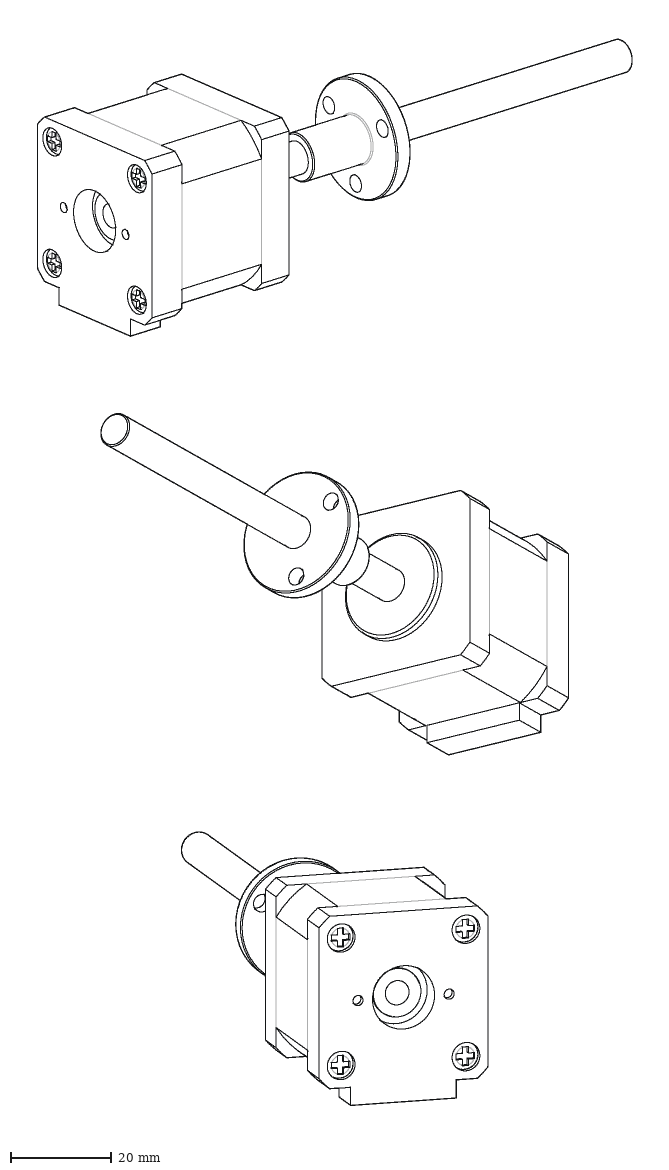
import cadquery as cq
MOTOR_SIZE = 35.3
MOTOR_LENGTH = 35.9
REAR_COVER_LENGTH = 7.9
FRONT_COVER_LENGTH = 7.2
COVER_CORNER_RADIUS = 23.5
STATOR_CORNER_RADIUS = 21.0
ASSEMBLY_LENGTH = 138.0

TAB_WIDTH = 22.1
TAB_DROP = 3.7

BOSS_RADIUS = 11.0
BOSS_HEIGHT = 2.1
BOSS_CHAMFER = 0.5

POCKET_RADIUS = 6.5
POCKET_DEPTH = 5.0

BEARING_RADIUS = 5.0
BEARING_START = 4.3
BEARING_LENGTH = REAR_COVER_LENGTH - BEARING_START

SCREW_RADIUS = 3.5
JOURNAL_RADIUS = 2.5
SCREW_END_CHAMFER = 0.3

NUT_START = 53.0
NUT_SLEEVE_RADIUS = 5.1
NUT_SLEEVE_CHAMFER = 0.3
NUT_LENGTH = 19.0
NUT_FLANGE_RADIUS = 12.7
NUT_FLANGE_THICKNESS = 3.7
NUT_FLANGE_CHAMFER = 0.3
NUT_ROOT_FILLET = 0.3
NUT_HOLE_COUNT = 3
NUT_HOLE_RADIUS = 1.8
NUT_HOLE_CIRCLE_RADIUS = 9.5
NUT_FIRST_HOLE_ANGLE = 30.0

FASTENER_SPACING = 26.1
FASTENER_RADIUS = 2.9
FASTENER_TOP = 0.4
FASTENER_HEAD_FILLET = 1.0
FASTENER_RECESS_DEPTH = FASTENER_TOP + FASTENER_HEAD_FILLET
CROSS_LENGTH = 3.9
CROSS_WIDTH = 1.2
CROSS_DEPTH = 0.8

DRILL_SPACING = 19.0
DRILL_RADIUS = 1.04
DRILL_DEPTH = 1.4
DRILL_TIP_LENGTH = 0.5


def section(y):
    """Sketch plane across the motor axis at y, with local X along -X, Z up and extrusion towards +Y."""
    return cq.Workplane(cq.Plane(origin=(0, y, 0), xDir=(-1, 0, 0), normal=(0, 1, 0)))


def rod(radius, start, length):
    return section(start).circle(radius).extrude(length)


def motor_block(corner_radius, start, length):
    """Square block whose corners are rounded by a cylinder about the motor axis."""
    square = section(start).rect(MOTOR_SIZE, MOTOR_SIZE).extrude(length)
    return square.intersect(rod(corner_radius, start, length))


def make_shell():
    """Two covers, the stator between them, the connector tab and the front boss."""
    front_cover_start = MOTOR_LENGTH - FRONT_COVER_LENGTH
    stator_length = front_cover_start - REAR_COVER_LENGTH
    rear_cover = motor_block(COVER_CORNER_RADIUS, 0, REAR_COVER_LENGTH)
    stator = motor_block(STATOR_CORNER_RADIUS, REAR_COVER_LENGTH, stator_length)
    front_cover = motor_block(COVER_CORNER_RADIUS, front_cover_start, FRONT_COVER_LENGTH)

    tab_height = MOTOR_SIZE / 2 + TAB_DROP
    tab = section(0).center(0, -tab_height / 2).rect(TAB_WIDTH, tab_height).extrude(REAR_COVER_LENGTH)

    boss = rod(BOSS_RADIUS, MOTOR_LENGTH, BOSS_HEIGHT).faces(">Y").chamfer(BOSS_CHAMFER)
    rear = rear_cover.union(tab).clean()
    return rear.union(stator, clean=False).union(front_cover, clean=False).union(boss, clean=False)


def make_fastener_recess():
    """Material removed around one fastener: a round recess less the domed head, plus the cross slot."""
    head = rod(FASTENER_RADIUS, FASTENER_TOP, REAR_COVER_LENGTH)
    head = head.faces("<Y").edges().fillet(FASTENER_HEAD_FILLET)
    recess = rod(FASTENER_RADIUS, 0, FASTENER_RECESS_DEPTH).cut(head)
    for width, height in ((CROSS_LENGTH, CROSS_WIDTH), (CROSS_WIDTH, CROSS_LENGTH)):
        recess = recess.union(section(FASTENER_TOP).rect(width, height).extrude(CROSS_DEPTH))
    return recess


def make_drilled_hole():
    """Blind hole with a conical tip."""
    tip_y = DRILL_DEPTH + DRILL_TIP_LENGTH
    profile = [(0, 0), (DRILL_RADIUS, 0), (DRILL_RADIUS, DRILL_DEPTH), (0, tip_y)]
    return cq.Workplane("XY").polyline(profile).close().revolve(360, (0, 0, 0), (0, 1, 0))


def make_housing():
    housing = make_shell()
    housing = housing.cut(rod(POCKET_RADIUS, 0, POCKET_DEPTH), clean=False)
    housing = housing.cut(rod(BEARING_RADIUS, BEARING_START, BEARING_LENGTH), clean=False)
    screw_bore_length = MOTOR_LENGTH + BOSS_HEIGHT - REAR_COVER_LENGTH
    housing = housing.cut(rod(SCREW_RADIUS, REAR_COVER_LENGTH, screw_bore_length), clean=False)

    fastener_recess = make_fastener_recess()
    for x in (-FASTENER_SPACING / 2, FASTENER_SPACING / 2):
        for z in (-FASTENER_SPACING / 2, FASTENER_SPACING / 2):
            housing = housing.cut(fastener_recess.translate((x, 0, z)), clean=False)

    drilled_hole = make_drilled_hole()
    for x in (-DRILL_SPACING / 2, DRILL_SPACING / 2):
        housing = housing.cut(drilled_hole.translate((x, 0, 0)), clean=False)
    return housing


def make_bearing():
    """Ring seated in the pocket floor, carrying the screw journal."""
    return section(BEARING_START).circle(BEARING_RADIUS).circle(JOURNAL_RADIUS).extrude(BEARING_LENGTH)


def make_lead_screw():
    """Plain rod with a thinner journal through the bearing."""
    thick_length = ASSEMBLY_LENGTH - REAR_COVER_LENGTH
    thick = rod(SCREW_RADIUS, REAR_COVER_LENGTH, thick_length).faces(">Y").chamfer(SCREW_END_CHAMFER)
    return thick.union(rod(JOURNAL_RADIUS, BEARING_START, BEARING_LENGTH))


def make_nut():
    """Sleeve with a drilled flange at its front end, sitting on the screw."""
    flange_start = NUT_START + NUT_LENGTH - NUT_FLANGE_THICKNESS
    sleeve = rod(NUT_SLEEVE_RADIUS, NUT_START, NUT_LENGTH).faces("<Y").chamfer(NUT_SLEEVE_CHAMFER)
    flange = rod(NUT_FLANGE_RADIUS, flange_start, NUT_FLANGE_THICKNESS)
    flange = flange.faces("<Y or >Y").edges().chamfer(NUT_FLANGE_CHAMFER)
    holes = (
        section(flange_start)
        .polarArray(NUT_HOLE_CIRCLE_RADIUS, NUT_FIRST_HOLE_ANGLE, 360, NUT_HOLE_COUNT)
        .circle(NUT_HOLE_RADIUS)
        .extrude(NUT_FLANGE_THICKNESS)
    )
    bore = rod(SCREW_RADIUS, NUT_START, NUT_LENGTH)
    body = sleeve.union(flange)
    root_corner = (NUT_SLEEVE_RADIUS, flange_start, 0)
    body = body.edges(cq.selectors.NearestToPointSelector(root_corner)).fillet(NUT_ROOT_FILLET)
    return body.cut(holes).cut(bore)


housing = make_housing()
bearing = make_bearing()
lead_screw = make_lead_screw()
nut = make_nut()

result = cq.Compound.makeCompound([housing.val(), bearing.val(), lead_screw.val(), nut.val()])